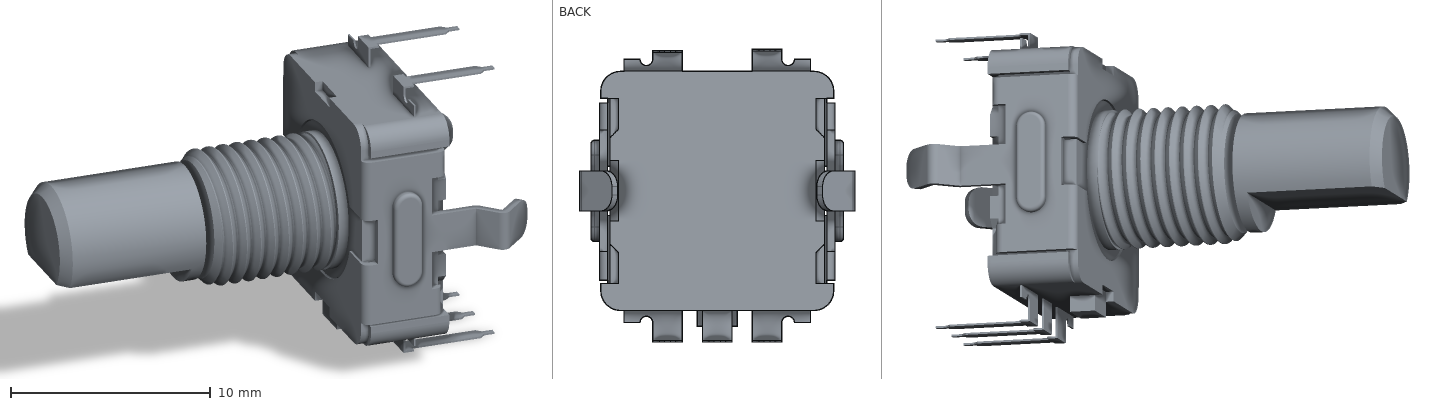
import cadquery as cq
import math


HOUSING_WIDTH = 11.7
HOUSING_HEIGHT = 12.0
HOUSING_BACK = 4.6
CORNER_RADIUS = 1.0
SHEET = 0.4
PLATE_WIDTH = 11.0
WAIST_WIDTH = 10.75
POST_INNER_Z = 4.63
NOTCH_WIDTH = 2.02
NOTCH_DEPTH = 0.5
KEY_BACK = 1.7
KEY_DROP = 0.8
POCKET_DEPTH = 0.43
POCKET_OUTER_Z = 2.67
REAR_CHAMFER_HALF_HEIGHT = 1.51

TERMINAL_SHEET = 0.1
TERMINAL_Y = 3.15
TERMINAL_X = 2.5
TERMINAL_EMBED = 0.25
LUG_ROOT_Z = HOUSING_HEIGHT / 2 - TERMINAL_EMBED
LUG_WIDTH = 1.5
LUG_FOOT_LENGTH = 0.55
STEP_END_X = 4.68
STEP_RISE = 0.6
RELIEF_RADIUS = 0.31
PIN_WIDTH = 0.82
PIN_TIP_WIDTH = 0.31
PIN_TAPER = 0.26
PIN_TIP_LENGTH = 0.55
SIDE_PIN_END = 8.24
CENTER_PIN_END = 8.15
TOP_LEFT_REACH = 7.1
TOP_RIGHT_REACH = 7.03
BOTTOM_REACH = 7.59

CLIP_INNER_X = PLATE_WIDTH / 2
CLIP_OUTER_X = CLIP_INNER_X + SHEET
CLIP_TOP = 4.42
CLIP_BOTTOM = -4.5
CLIP_EDGE_Y = 3.65
TAB_INNER_Z = 3.05
TOP_TAB_Y = 4.45
BOTTOM_TAB_Y = 4.25
LEG_HEIGHT = 2.02
KNEE_X = 6.91
KNEE_Y = 7.2
LEG_END_Y = 9.0
LEG_TIP_RADIUS = 0.8
BEAD_Y = 2.28
BEAD_LENGTH = 5.1
BEAD_WIDTH = 1.5
BEAD_RISE = 0.43
BEAD_FILLET = 0.2

FLANGE_FRONT = 0.1
FLANGE_BACK = 0.77
FLANGE_RADIUS = 4.0
FLANGE_GAP = 0.05
ARM_HEIGHT = 2.35
ARM_SPAN = WAIST_WIDTH
BUSHING_RADIUS = 3.5
BUSHING_LENGTH = 6.91
BUSHING_CHAMFER = 0.5
COLLAR_LENGTH = 0.43
THREAD_SPAN = 6.0
THREAD_TURNS = 8
THREAD_PITCH = THREAD_SPAN / THREAD_TURNS
THREAD_DEPTH = 0.34
THREAD_ROOT = 0.07
THREAD_CREST = 0.05
GROOVE_OVERRUN = 0.02
THREAD_START = -0.3

SHAFT_RADIUS = 3.0
SHAFT_TIP = 15.0
SHAFT_SHOULDER = 7.35
SHAFT_CHAMFER = 0.5
NECK_RADIUS = 1.51
FLAT_START = 8.0
FLAT_Z = -1.5


def block(x_range, y_range, z_range):
    """Axis-aligned box between pairs of limits."""
    size = [high - low for low, high in (x_range, y_range, z_range)]
    corner = (x_range[0], y_range[0], z_range[0])
    return cq.Workplane("XY").box(*size, centered=False).translate(corner)


def front_plane(y):
    """XZ sketch plane at y, extruding towards -Y."""
    return cq.Workplane("XZ", origin=(0, y, 0))


def flange_shape(y_front, y_back, arm_span, gap):
    """Round flange crossed by a pair of side arms, both widened all round by gap."""
    depth = y_back - y_front
    disc = front_plane(y_back).circle(FLANGE_RADIUS + gap).extrude(depth)
    arms = front_plane(y_back).rect(arm_span, ARM_HEIGHT + 2 * gap).extrude(depth)
    return disc.union(arms)



def make_block():
    """Moulded block: corner posts, narrower waist and rear pockets."""
    half_width = HOUSING_WIDTH / 2
    half_waist = WAIST_WIDTH / 2
    body = front_plane(HOUSING_BACK).rect(HOUSING_WIDTH, HOUSING_HEIGHT).extrude(HOUSING_BACK - SHEET)
    body = body.edges("|Y").fillet(CORNER_RADIUS)
    pocket_inner_x = half_waist - POCKET_DEPTH
    pocket_inner_z = POCKET_OUTER_Z + POCKET_DEPTH
    for side in (-1, 1):
        x_range = sorted((side * half_waist, side * half_width))
        body = body.cut(block(x_range, (SHEET, HOUSING_BACK), (-POST_INNER_Z, POST_INNER_Z)))
        for end in (-1, 1):
            pocket = (
                front_plane(HOUSING_BACK)
                .moveTo(side * half_waist, end * POCKET_OUTER_Z)
                .lineTo(side * pocket_inner_x, end * pocket_inner_z)
                .lineTo(side * pocket_inner_x, end * POST_INNER_Z)
                .lineTo(side * half_waist, end * POST_INNER_Z)
                .close()
                .extrude(POCKET_DEPTH)
            )
            body = body.cut(pocket)
        chamfer = (
            cq.Workplane("XY", origin=(0, 0, -REAR_CHAMFER_HALF_HEIGHT))
            .moveTo(side * half_waist, HOUSING_BACK - POCKET_DEPTH)
            .lineTo(side * half_waist, HOUSING_BACK)
            .lineTo(side * pocket_inner_x, HOUSING_BACK)
            .close()
            .extrude(2 * REAR_CHAMFER_HALF_HEIGHT)
        )
        body = body.cut(chamfer)
    return body


def make_plate():
    """Front plate, notched at the middle of its top and bottom edges."""
    plate = front_plane(SHEET).rect(PLATE_WIDTH, HOUSING_HEIGHT).extrude(SHEET)
    plate = plate.edges("|Y").fillet(CORNER_RADIUS)
    for end in (-1, 1):
        notch_z = end * (HOUSING_HEIGHT - NOTCH_DEPTH) / 2
        notch = front_plane(SHEET).center(0, notch_z).rect(NOTCH_WIDTH, NOTCH_DEPTH).extrude(SHEET)
        plate = plate.cut(notch)
    return plate


def make_pin(reach, pin_end):
    """Flat pin on x = 0 pointing to +Y, its top face at z = reach."""
    half_foot = LUG_WIDTH / 2
    half_pin = PIN_WIDTH / 2
    half_tip = PIN_TIP_WIDTH / 2
    foot_end = TERMINAL_Y + LUG_FOOT_LENGTH
    tip_start = pin_end - PIN_TIP_LENGTH
    return (
        cq.Workplane("XY", origin=(0, 0, reach - TERMINAL_SHEET))
        .moveTo(0, TERMINAL_Y)
        .lineTo(half_foot, TERMINAL_Y)
        .lineTo(half_foot, foot_end)
        .lineTo(half_pin, foot_end)
        .lineTo(half_pin, tip_start - PIN_TAPER)
        .lineTo(half_tip, tip_start)
        .lineTo(half_tip, pin_end)
        .lineTo(0, pin_end)
        .mirrorY()
        .extrude(TERMINAL_SHEET)
    )


def make_lug(reach):
    """Upright strip on x = 0 that rises out of the block to z = reach."""
    y_range = (TERMINAL_Y, TERMINAL_Y + TERMINAL_SHEET)
    return block((-LUG_WIDTH / 2, LUG_WIDTH / 2), y_range, (LUG_ROOT_Z, reach))


def make_side_terminal(reach):
    """Terminal on the +X side, with a low step outboard and a round relief beside the lug."""
    terminal = make_lug(reach).union(make_pin(reach, SIDE_PIN_END))
    terminal = terminal.translate((TERMINAL_X, 0, 0))
    lug_edge = TERMINAL_X + LUG_WIDTH / 2
    y_back = TERMINAL_Y + TERMINAL_SHEET
    step_top = HOUSING_HEIGHT / 2 + STEP_RISE
    step = block((lug_edge, STEP_END_X), (TERMINAL_Y, y_back), (LUG_ROOT_Z, step_top))
    relief = front_plane(y_back).center(lug_edge + RELIEF_RADIUS, step_top).circle(RELIEF_RADIUS)
    return terminal.union(step.cut(relief.extrude(TERMINAL_SHEET)))


def make_center_terminal():
    """Plain terminal under the middle of the block."""
    terminal = make_lug(BOTTOM_REACH).union(make_pin(BOTTOM_REACH, CENTER_PIN_END))
    return terminal.mirror("XY")


def make_housing():
    """Block, front plate, key and terminals, with the seat for the bushing flange."""
    body = make_block().union(make_plate())
    key_bottom = -HOUSING_HEIGHT / 2 - KEY_DROP
    key = block((-NOTCH_WIDTH / 2, NOTCH_WIDTH / 2), (SHEET, KEY_BACK), (key_bottom, 0))
    body = body.union(key)
    body = body.cut(flange_shape(0, FLANGE_BACK, PLATE_WIDTH, FLANGE_GAP))
    body = body.union(make_side_terminal(TOP_RIGHT_REACH))
    body = body.union(make_side_terminal(TOP_LEFT_REACH).mirror("YZ"))
    bottom_terminal = make_side_terminal(BOTTOM_REACH).mirror("XY")
    body = body.union(bottom_terminal).union(bottom_terminal.mirror("YZ"))
    return body.union(make_center_terminal())



def make_wall(rear, z_range):
    """Clip wall whose front and rear edges curl inward by a quarter turn."""
    bend = SHEET * math.sqrt(0.5)
    return (
        cq.Workplane("XY", origin=(0, 0, z_range[0]))
        .moveTo(CLIP_INNER_X, 0)
        .threePointArc((CLIP_INNER_X + bend, SHEET - bend), (CLIP_OUTER_X, SHEET))
        .lineTo(CLIP_OUTER_X, rear - SHEET)
        .threePointArc((CLIP_INNER_X + bend, rear - SHEET + bend), (CLIP_INNER_X, rear))
        .close()
        .extrude(z_range[1] - z_range[0])
    )


def make_leg():
    """Snap leg: straight, out at 45 degrees, round the knee and back in at 45 degrees."""
    diagonal = SHEET * math.sqrt(0.5)
    half_bend = math.pi / 8
    knee_center_x = KNEE_X - SHEET
    lower_x = knee_center_x + diagonal
    lower_y = KNEE_Y - diagonal
    upper_y = KNEE_Y + diagonal
    bend_y = lower_y - (lower_x - CLIP_OUTER_X)
    tip_x = lower_x - (LEG_END_Y - upper_y)
    bend_mid = (CLIP_OUTER_X - SHEET * math.cos(half_bend), bend_y + SHEET * math.sin(half_bend))
    leg = (
        cq.Workplane("XY", origin=(0, 0, -LEG_HEIGHT / 2))
        .moveTo(CLIP_OUTER_X, CLIP_EDGE_Y)
        .lineTo(CLIP_OUTER_X, bend_y)
        .lineTo(lower_x, lower_y)
        .threePointArc((KNEE_X, KNEE_Y), (lower_x, upper_y))
        .lineTo(tip_x, LEG_END_Y)
        .lineTo(tip_x - diagonal, LEG_END_Y - diagonal)
        .lineTo(knee_center_x, KNEE_Y)
        .lineTo(CLIP_OUTER_X - diagonal, bend_y + diagonal)
        .threePointArc(bend_mid, (CLIP_INNER_X, bend_y))
        .lineTo(CLIP_INNER_X, CLIP_EDGE_Y)
        .close()
        .extrude(LEG_HEIGHT)
    )
    return leg.faces(">Y").edges("#Z").fillet(LEG_TIP_RADIUS)


def make_bead():
    """Raised oval bead on the outside of the clip wall."""
    bead = (
        cq.Workplane("YZ", origin=(CLIP_OUTER_X, 0, 0))
        .center(BEAD_Y, 0)
        .slot2D(BEAD_LENGTH, BEAD_WIDTH, 90)
        .extrude(BEAD_RISE)
    )
    return bead.faces(">X").edges().fillet(BEAD_FILLET)


def make_clip(side):
    """Clip on the +X side (side = 1) or -X side (side = -1), slotted over the flange arm."""
    clip = make_wall(TOP_TAB_Y, (0, CLIP_TOP)).union(make_wall(BOTTOM_TAB_Y, (CLIP_BOTTOM, 0)))
    x_range = (CLIP_INNER_X, CLIP_OUTER_X)
    clip = clip.cut(block(x_range, (CLIP_EDGE_Y, HOUSING_BACK), (-TAB_INNER_Z, TAB_INNER_Z)))
    slot_half_height = ARM_HEIGHT / 2 + FLANGE_GAP
    clip = clip.cut(block(x_range, (0, FLANGE_BACK), (-slot_half_height, slot_half_height)))
    clip = clip.union(make_leg()).union(make_bead())
    return clip if side > 0 else clip.mirror("YZ")



def make_thread_groove():
    """Right-handed helical groove cutter around -Y."""
    height = BUSHING_LENGTH - THREAD_START + THREAD_PITCH
    root_radius = BUSHING_RADIUS - THREAD_DEPTH
    outer_radius = BUSHING_RADIUS + GROOVE_OVERRUN
    flank_slope = (THREAD_PITCH - THREAD_CREST - THREAD_ROOT) / 2 / THREAD_DEPTH
    half_root = THREAD_ROOT / 2
    half_mouth = half_root + flank_slope * (outer_radius - root_radius)
    path = cq.Wire.makeHelix(THREAD_PITCH, height, root_radius)
    groove = (
        cq.Workplane("XZ")
        .moveTo(root_radius, -half_root)
        .lineTo(outer_radius, -half_mouth)
        .lineTo(outer_radius, half_mouth)
        .lineTo(root_radius, half_root)
        .close()
        .sweep(cq.Workplane(path), isFrenet=True)
    )
    return groove.rotate((0, 0, 0), (1, 0, 0), 90).translate((0, -THREAD_START, 0))


def make_bushing():
    """Cross-shaped flange, plain collar and threaded barrel, bored for the shaft neck."""
    barrel = front_plane(-COLLAR_LENGTH).circle(BUSHING_RADIUS).extrude(BUSHING_LENGTH - COLLAR_LENGTH)
    barrel = barrel.faces("<Y").chamfer(BUSHING_CHAMFER)
    overhang = 3 * THREAD_PITCH
    rod = front_plane(overhang).circle(BUSHING_RADIUS).extrude(BUSHING_LENGTH + 2 * overhang)
    barrel = rod.cut(make_thread_groove()).intersect(barrel)
    collar = front_plane(FLANGE_BACK).circle(BUSHING_RADIUS).extrude(FLANGE_BACK + COLLAR_LENGTH)
    flange = flange_shape(FLANGE_FRONT, FLANGE_BACK, ARM_SPAN, 0)
    bore = front_plane(FLANGE_BACK).circle(NECK_RADIUS).extrude(FLANGE_BACK + BUSHING_LENGTH)
    return barrel.union(collar).union(flange).cut(bore)



def make_shaft():
    """Shaft with a neck through the bushing and a flat on the underside of its tip."""
    neck = front_plane(FLANGE_BACK).circle(NECK_RADIUS).extrude(FLANGE_BACK + SHAFT_SHOULDER)
    knob = front_plane(-SHAFT_SHOULDER).circle(SHAFT_RADIUS).extrude(SHAFT_TIP - SHAFT_SHOULDER)
    knob = knob.faces("<Y").chamfer(SHAFT_CHAMFER)
    below_flat = block((-SHAFT_RADIUS, SHAFT_RADIUS), (-SHAFT_TIP, -FLAT_START), (-SHAFT_RADIUS, FLAT_Z))
    return neck.union(knob.cut(below_flat))



housing = make_housing()
bushing = make_bushing()
shaft = make_shaft()
side_clips = [make_clip(side) for side in (1, -1)]

result = cq.Compound.makeCompound([
    housing.solids().val(),
    bushing.solids().val(),
    shaft.solids().val(),
    *[clip.solids().val() for clip in side_clips],
])